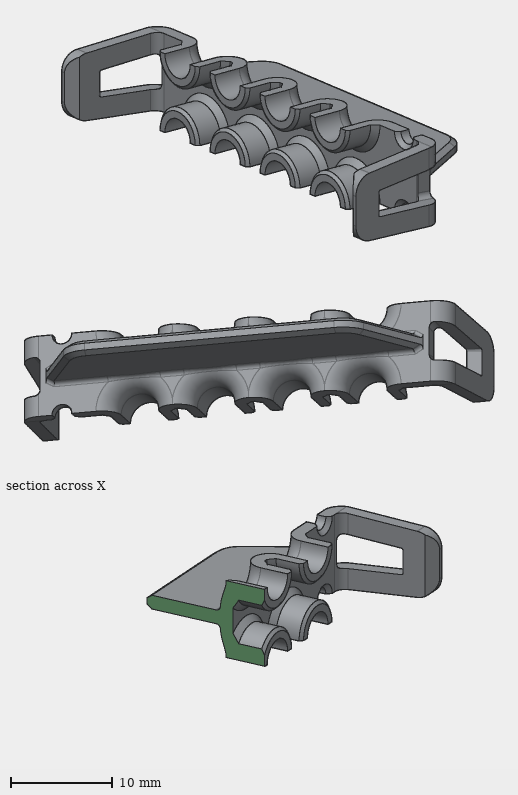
import cadquery as cq
import math


length = 46.3
height = 8.3
half_height = height / 2
sheet = 1.5
overall_depth = 20.2
fin_height = 8.4
reach = overall_depth - fin_height

arm_lean = math.radians(5)
arm_taper = math.radians(4)
bend_outer_radius = 2.0
bend_inner_radius = 1.0
tip_land = 0.45
tip_bevel = 1.0
tip_corner_radius = 2.0

slot_inner_x = 20.15
slot_half_height = 2.0
slot_end = 8.65
slot_end_tilt = math.radians(10)
slot_bend_radius = 0.6
slot_tip_radius = 0.2

channel_count = 4
channel_pitch = 7.85
first_channel_x = -13.25
channel_radius = 2.0
flare_radius = 2.0
tube_radius = 3.1
tube_reach = 5.1
tube_end_chamfer = 0.32
tube_base_chamfer = 0.65

screw_x = 17.85
screw_radius = 1.0
countersink_radius = 1.5
countersink_depth = 0.45

fin_half_base = 19.5
fin_slope = math.radians(30)
fin_thickness = 1.55
fin_corner_radius = 3.0
fin_bevel_in = 0.6
fin_bevel_across = 0.4
fin_root_radius = 0.45
fin_embed = 0.93

clearance = 0.45

channel_xs = [first_channel_x + i * channel_pitch for i in range(channel_count)]


def outer_x(depth):
    """X of the outer face of the right arm at a depth below the back face."""
    return length / 2 - (reach - depth) * math.tan(arm_lean)


def inner_x(depth):
    """X of the inner face of the right arm at a depth below the back face."""
    return outer_x(depth) - sheet / math.cos(arm_lean)


def mirrored(shape):
    """The shape joined with its copy on the opposite X side."""
    return shape.union(shape.mirror("YZ"))


def make_bracket():
    """Bent strip: the plate and both arms."""
    bevel_depth = reach - tip_bevel
    right = [
        (outer_x(0), 0),
        (outer_x(reach), -reach),
        (outer_x(reach) - tip_land, -reach),
        (inner_x(bevel_depth), -bevel_depth),
        (inner_x(sheet), -sheet),
    ]
    left = [(-x, y) for x, y in reversed(right)]
    strip = cq.Workplane("XY").polyline(right + left).close().extrude(half_height, both=True)
    for sign in (-1, 1):
        outer_corner = cq.selectors.NearestToPointSelector((sign * outer_x(0), 0, 0))
        strip = strip.edges("|Z").edges(outer_corner).fillet(bend_outer_radius)
        inner_corner = cq.selectors.NearestToPointSelector((sign * inner_x(sheet), -sheet, 0))
        strip = strip.edges("|Z").edges(inner_corner).fillet(bend_inner_radius)
    return strip.intersect(make_arm_outline())


def make_arm_outline():
    """Side outline: straight over the plate, tapering to a round-cornered tip."""
    tip_half_height = half_height - (reach - sheet) * math.tan(arm_taper)
    top = [(clearance, half_height), (-sheet, half_height), (-reach, tip_half_height)]
    bottom = [(y, -z) for y, z in reversed(top)]
    outline = cq.Workplane("YZ").polyline(top + bottom).close().extrude(length, both=True)
    return outline.faces("<Y").edges("|X").fillet(tip_corner_radius)


def make_slot():
    """Cutter for the window in the right arm and bend."""
    outer = length / 2 + clearance
    end_lift = math.tan(slot_end_tilt)
    end_x = outer_x(slot_end)
    plan = [
        (slot_inner_x, clearance),
        (outer, clearance),
        (outer, -slot_end - (outer - end_x) * end_lift),
        (slot_inner_x, -slot_end + (end_x - slot_inner_x) * end_lift),
    ]
    slot = cq.Workplane("XY").polyline(plan).close().extrude(half_height, both=True)
    narrowing = math.tan(arm_taper)
    start_half = slot_half_height + clearance * narrowing
    finish_half = slot_half_height - reach * narrowing
    side = [
        (clearance, start_half),
        (-reach, finish_half),
        (-reach, -finish_half),
        (clearance, -start_half),
    ]
    slot = slot.intersect(cq.Workplane("YZ").polyline(side).close().extrude(length))
    slot = slot.faces("<X").edges(">Z or <Z").fillet(slot_bend_radius)
    slot = slot.faces("<Y").edges(">Z or <Z").fillet(slot_tip_radius)
    return slot


def spin(profile):
    """Solid of revolution about the Y axis."""
    return profile.close().revolve(360, (0, 0, 0), (0, 1, 0))


def make_tube(x, z):
    """Round boss with a conical foot and a chamfered end, trimmed to the plate height."""
    foot = sheet + tube_base_chamfer
    profile = [
        (0, -sheet / 2),
        (tube_radius + tube_base_chamfer, -sheet / 2),
        (tube_radius + tube_base_chamfer, -sheet),
        (tube_radius, -foot),
        (tube_radius, -tube_reach + tube_end_chamfer),
        (tube_radius - tube_end_chamfer, -tube_reach),
        (0, -tube_reach),
    ]
    tube = spin(cq.Workplane("XY").polyline(profile)).translate((x, 0, z))
    return tube.intersect(cq.Workplane("XY").box(2 * length, 2 * length, height))


def make_channel(x, z):
    """Bore with a quarter-round flare opening to the back face."""
    mouth = channel_radius + flare_radius
    middle = flare_radius * math.sqrt(0.5)
    profile = (
        cq.Workplane("XY")
        .moveTo(0, 0)
        .lineTo(mouth, 0)
        .threePointArc((mouth - middle, -flare_radius + middle), (channel_radius, -flare_radius))
        .lineTo(channel_radius, -tube_reach - clearance)
        .lineTo(0, -tube_reach - clearance)
    )
    return spin(profile).translate((x, 0, z))


def make_screw_hole(z):
    """Hole through the plate, countersunk from the front."""
    profile = [
        (0, clearance),
        (screw_radius, clearance),
        (screw_radius, -sheet + countersink_depth),
        (countersink_radius, -sheet),
        (0, -sheet),
    ]
    return spin(cq.Workplane("XY").polyline(profile)).translate((screw_x, 0, z))


def make_fin():
    """Trapezoidal fin, bevelled on both faces around its free edge."""
    run = math.tan(fin_slope)
    half_top = fin_half_base - fin_height * run
    half_foot = fin_half_base + fin_embed * run
    outline = [
        (-half_foot, -fin_embed),
        (-half_top, fin_height),
        (half_top, fin_height),
        (half_foot, -fin_embed),
    ]
    core_half = fin_thickness / 2 - fin_bevel_across
    bevel_angle = math.degrees(math.atan2(fin_bevel_in, fin_bevel_across))
    half = cq.Workplane("XY").polyline(outline).close().extrude(core_half)
    half = half.faces(">Y").edges("|Z").fillet(fin_corner_radius)
    rim = half.faces(">Z").wires().toPending().workplane(origin=(0, 0, core_half))
    half = rim.extrude(fin_bevel_across, taper=bevel_angle)
    return half.union(half.mirror("XY"))


def round_fin_root(part):
    """Fillet where both fin faces meet the plate and the flares."""
    margin = fin_root_radius / 2
    half_thickness = fin_thickness / 2
    for z in (-half_thickness, half_thickness):
        root = cq.selectors.BoxSelector(
            (-fin_half_base, -margin, z - margin), (fin_half_base, margin, z + margin)
        )
        part = part.edges(root).fillet(fin_root_radius)
    return part


body = make_bracket()
edge_levels = (-half_height, half_height)
tube_places = [(x, z) for x in channel_xs for z in edge_levels]
for x, z in tube_places:
    body = body.union(make_tube(x, z))
for x, z in tube_places:
    body = body.cut(make_channel(x, z))
for z in edge_levels:
    body = body.cut(make_screw_hole(z))
body = body.cut(mirrored(make_slot()))
body = body.union(make_fin())
result = round_fin_root(body)